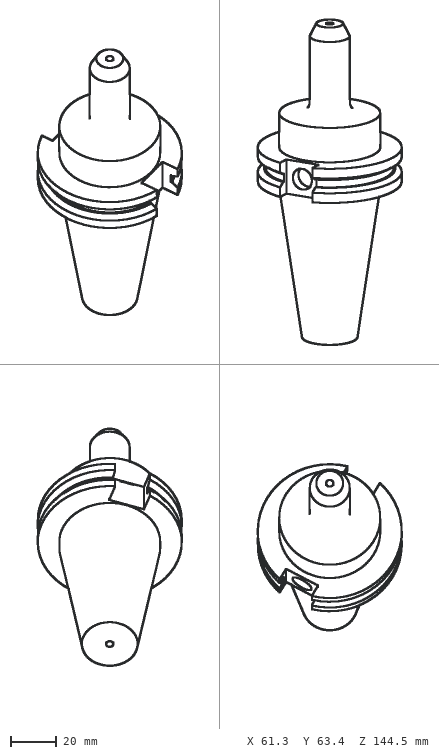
import cadquery as cq
import math

total_length = 144.5
taper_length = 68.2
flange_bottom = 71.6
flange_top = 87.4
shoulder_top = 103.3
tip_length = 5.8

flange_radius = 63.4 / 2
shoulder_radius = 22.2
shank_radius = 8.8
tip_radius = 5.9
shank_fillet = 4.9
bore_radius = 1.6
taper_ratio = 7 / 24
taper_end_radius = shoulder_radius - taper_length * taper_ratio / 2

groove_root_radius = 28.2
groove_wall_inner_radius = 28.9
groove_root_width = 3.6
groove_wall_angle = 30.0

slot_width = 16.2
left_slot_floor = 25.0
right_slot_floor = 22.5
hole_radius = 4.8
hole_depth = 5.0

flange_height = flange_top - flange_bottom
flange_middle = (flange_bottom + flange_top) / 2


def turned_body():
    """Taper, grooved flange, shoulder and filleted shank revolved about Z."""
    wall_run = flange_radius - groove_wall_inner_radius
    root_half = groove_root_width / 2
    mouth_half = root_half + wall_run * math.tan(math.radians(groove_wall_angle))
    fillet_centre_radius = shank_radius + shank_fillet
    fillet_top = shoulder_top + shank_fillet
    arc_offset = shank_fillet * math.sqrt(0.5)
    fillet_mid = (fillet_centre_radius - arc_offset, fillet_top - arc_offset)

    profile = (
        cq.Workplane("XZ")
        .lineTo(taper_end_radius, 0)
        .lineTo(shoulder_radius, taper_length)
        .lineTo(shoulder_radius, flange_bottom)
        .lineTo(flange_radius, flange_bottom)
        .lineTo(flange_radius, flange_middle - mouth_half)
        .lineTo(groove_wall_inner_radius, flange_middle - root_half)
        .lineTo(groove_root_radius, flange_middle - root_half)
        .lineTo(groove_root_radius, flange_middle + root_half)
        .lineTo(groove_wall_inner_radius, flange_middle + root_half)
        .lineTo(flange_radius, flange_middle + mouth_half)
        .lineTo(flange_radius, flange_top)
        .lineTo(shoulder_radius, flange_top)
        .lineTo(shoulder_radius, shoulder_top)
        .lineTo(fillet_centre_radius, shoulder_top)
        .threePointArc(fillet_mid, (shank_radius, fillet_top))
        .lineTo(shank_radius, total_length - tip_length)
        .lineTo(tip_radius, total_length)
        .lineTo(0, total_length)
        .close()
    )
    return profile.revolve(360, (0, 0, 0), (0, 1, 0))


def drive_slot(side, floor):
    """Cutter from a flat slot floor out past the flange; side is -1 or 1 along X."""
    depth = flange_radius - floor
    return cq.Workplane("XY").box(depth, slot_width, flange_height).translate(
        (side * (floor + depth / 2), 0, flange_middle)
    )


def slot_hole():
    """Blind round hole running inward from the floor of the -X slot."""
    return (
        cq.Workplane("YZ", origin=(-left_slot_floor, 0, flange_middle))
        .circle(hole_radius)
        .extrude(hole_depth)
    )


def axial_bore():
    return cq.Workplane("XY").circle(bore_radius).extrude(total_length)


result = (
    turned_body()
    .cut(drive_slot(-1, left_slot_floor))
    .cut(drive_slot(1, right_slot_floor))
    .cut(slot_hole())
    .cut(axial_bore())
)